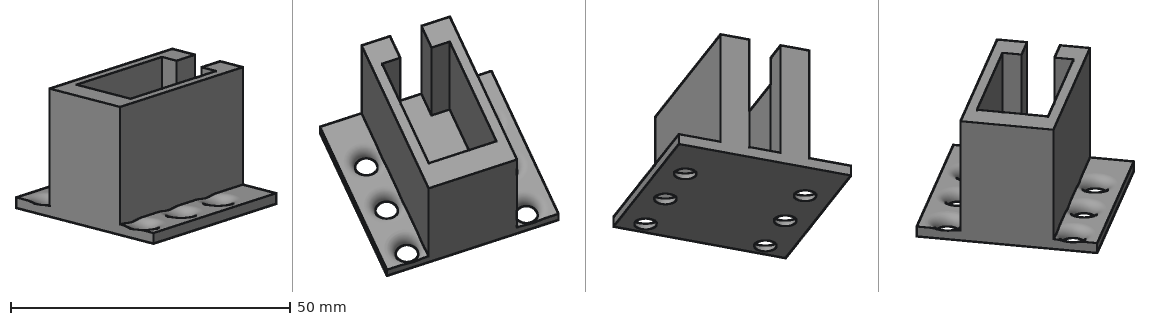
import cadquery as cq
import math

side = 33.0
base_thickness = 2.0

height = 24.0
socket_width = 17.0
cavity_width = 13.0
end_wall = 5.0
slot_width = 6.0

hole_diameter = 4.0
hole_inset = 5.0
first_hole_y = 3.0
hole_pitch = 10.0
holes_per_side = 3


def box(width, length, bottom, top, front):
    """Box centred across the part, starting at the given front Y."""
    return cq.Workplane("XY").box(width, length, top - bottom, centered=(True, False, False)).translate(
        (side / 2, front, bottom)
    )


def trumpet_hole(x, y):
    """Cutter whose quarter-round flare runs through the full plate thickness."""
    hole_radius = hole_diameter / 2
    mouth_radius = hole_radius + base_thickness
    arc_offset = base_thickness * math.sqrt(0.5)
    return (
        cq.Workplane("XZ")
        .lineTo(hole_radius, 0)
        .threePointArc((mouth_radius - arc_offset, arc_offset), (mouth_radius, base_thickness))
        .lineTo(0, base_thickness)
        .close()
        .revolve(360, (0, 0, 0), (0, 1, 0))
        .translate((x, y, 0))
    )


base = box(side, side, 0, base_thickness, 0)
for hole_x in (hole_inset, side - hole_inset):
    for index in range(holes_per_side):
        base = base.cut(trumpet_hole(hole_x, first_hole_y + index * hole_pitch))

socket = box(socket_width, side, 0, height, 0)
cavity = box(cavity_width, side - 2 * end_wall, base_thickness, height, end_wall)
slot = box(slot_width, end_wall, base_thickness, height, side - end_wall)

result = base.union(socket).cut(cavity).cut(slot)